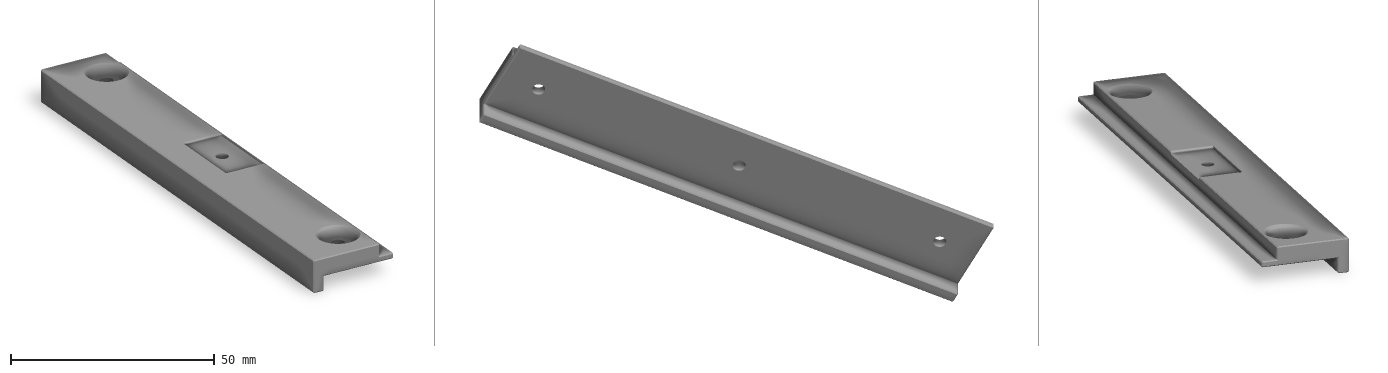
import cadquery as cq

length = 130.0
width = 23.0
height = 9.0

plate_thickness = 5.0
leg_thickness = 3.0
lip_width = 4.0
lip_thickness = 1.5
step_y = width - lip_width

hole_inset = 10.0
hole_y = width - hole_inset
hole_diameter = 3.2
sink_top_diameter = 11.0
sink_floor_diameter = 6.8
sink_depth = 2.2

pocket_length = 20.0
pocket_width = 11.2
pocket_depth = 0.8
pocket_chamfer = 0.4

edge_break = 0.3


def make_body():
    """Extrude the section along X."""
    section = [
        (0, -height),
        (leg_thickness, -height),
        (leg_thickness, -plate_thickness),
        (width, -plate_thickness),
        (width, lip_thickness - plate_thickness),
        (step_y, lip_thickness - plate_thickness),
        (step_y, 0),
        (0, 0),
    ]
    return cq.Workplane("YZ").polyline(section).close().extrude(length / 2, both=True)


def break_edges(body):
    """Chamfer every edge except the two inside corners of the section."""
    lip_corner = (0, step_y, lip_thickness - plate_thickness)
    leg_corner = (0, leg_thickness, -plate_thickness)
    inside_corners = [
        body.edges(cq.selectors.NearestToPointSelector(corner)).val()
        for corner in (lip_corner, leg_corner)
    ]
    outer_edges = [
        edge for edge in body.edges().vals()
        if not any(edge.isSame(corner) for corner in inside_corners)
    ]
    return body.newObject(outer_edges).chamfer(edge_break)


def make_pocket():
    """Shallow rectangular recess whose two end walls are chamfered at the rim."""
    half_floor = pocket_length / 2
    half_rim = half_floor + pocket_chamfer
    profile = [
        (-half_rim, 0),
        (-half_floor, -pocket_chamfer),
        (-half_floor, -pocket_depth),
        (half_floor, -pocket_depth),
        (half_floor, -pocket_chamfer),
        (half_rim, 0),
    ]
    return (
        cq.Workplane("XZ", origin=(0, step_y, 0))
        .polyline(profile)
        .close()
        .extrude(pocket_width)
    )


def make_through_hole(x):
    """Round hole through the plate."""
    return (
        cq.Workplane("XY")
        .center(x, hole_y)
        .circle(hole_diameter / 2)
        .extrude(-plate_thickness)
    )


def make_sink(x):
    """Conical recess with a flat floor."""
    return (
        cq.Workplane("XY")
        .center(x, hole_y)
        .circle(sink_top_diameter / 2)
        .workplane(offset=-sink_depth)
        .circle(sink_floor_diameter / 2)
        .loft(ruled=True)
    )


end_hole_x = length / 2 - hole_inset

result = break_edges(make_body()).cut(make_pocket())
for x in (-end_hole_x, 0, end_hole_x):
    result = result.cut(make_through_hole(x))
for x in (-end_hole_x, end_hole_x):
    result = result.cut(make_sink(x))